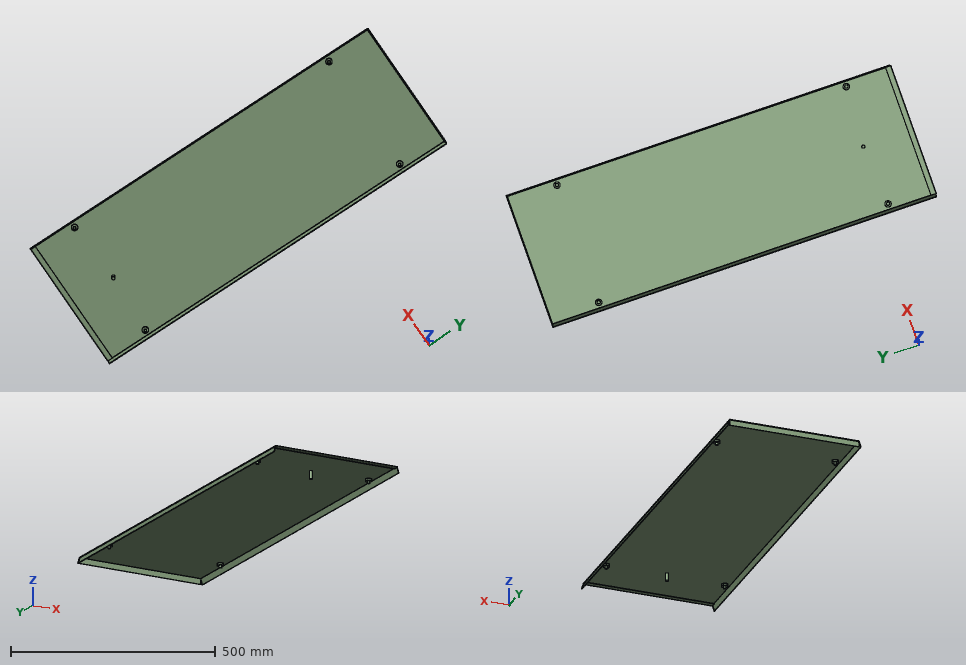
import cadquery as cq
import math

width = 350.0
length = 996.0
height = 23.0

sheet = 1.5
flange_tilt = math.radians(17.5)
flange_drop = 16.0
hem_depth = 14.0

fastener_x = 155.0
front_fastener_y = -377.0
back_fastener_y = 373.0
head_radius = 8.0
head_top_radius = 4.0
head_height = 1.5
washer_bottom = -5.5
stem_radius = 3.5
stem_bottom = -11.0

pin_y = -368.0
pin_radius = 4.0
pin_bottom = head_height - height

top_half_width = width / 2 - flange_drop * math.tan(flange_tilt)
front_y = -length / 2
back_y = length / 2
hem_axis_y = front_y + sheet


def channel():
    """Flat top with a flared flange along each long side."""
    tip_x = width / 2
    tip_inner_x = tip_x - sheet * math.cos(flange_tilt)
    tip_inner_z = -flange_drop - sheet * math.sin(flange_tilt)
    corner_inner_x = tip_inner_x + (tip_inner_z + sheet) * math.tan(flange_tilt)
    right_side = [
        (top_half_width, 0),
        (tip_x, -flange_drop),
        (tip_inner_x, tip_inner_z),
        (corner_inner_x, -sheet),
    ]
    left_side = [(-x, z) for x, z in reversed(right_side)]
    return (
        cq.Workplane("XZ", origin=(0, back_y, 0))
        .polyline(right_side + left_side)
        .close()
        .extrude(back_y - hem_axis_y)
    )


def front_hem():
    """Front edge folded flat back under the sheet, with a round nose."""
    hem_back_y = front_y + hem_depth
    return (
        cq.Workplane("YZ", origin=(-top_half_width, 0, 0))
        .moveTo(hem_axis_y, 0)
        .threePointArc((front_y, -sheet), (hem_axis_y, -2 * sheet))
        .lineTo(hem_back_y, -2 * sheet)
        .lineTo(hem_back_y, -sheet)
        .lineTo(hem_axis_y, -sheet)
        .close()
        .extrude(2 * top_half_width)
    )


def back_flange():
    """Upright flange along the back edge."""
    return cq.Workplane("XY").box(
        2 * top_half_width, sheet, flange_drop, centered=(True, False, False)
    ).translate((0, back_y - sheet, -flange_drop))


def fastener(x, y):
    """Conical head above the sheet, washer and short stem below it."""
    profile = [
        (0, head_height),
        (head_top_radius, head_height),
        (head_radius, 0),
        (head_radius, washer_bottom),
        (stem_radius, washer_bottom),
        (stem_radius, stem_bottom),
        (0, stem_bottom),
    ]
    return (
        cq.Workplane("XZ")
        .polyline(profile)
        .close()
        .revolve(360, (0, 0, 0), (0, 1, 0))
        .translate((x, y, 0))
    )


def pin():
    """Straight pin hanging from the underside of the sheet."""
    return (
        cq.Workplane("XY", origin=(0, pin_y, -sheet))
        .circle(pin_radius)
        .extrude(pin_bottom + sheet)
    )


result = channel().union(front_hem()).union(back_flange()).union(pin())
for x in (-fastener_x, fastener_x):
    for y in (front_fastener_y, back_fastener_y):
        result = result.union(fastener(x, y))